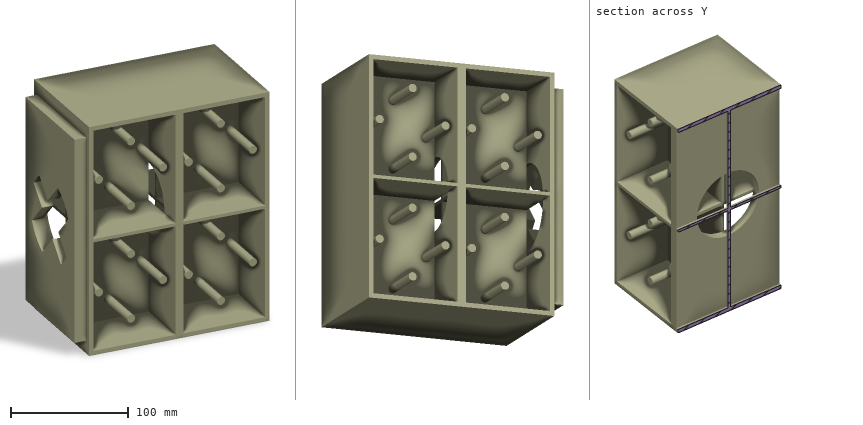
import cadquery as cq

LENGTH_X = 108.8
LENGTH_Z = 213
BODY_Y = 169.1
OUTER_WALL = 4.0
WEB = 3.0
SHELF = 3.0
PARTITION = 7.5

PLATE_X = 97.5
PLATE_Z = 189.0
PLATE_THICKNESS = 10.9

KEY_RADIUS = 39.0
WIDE_SLOT = 29.5
NARROW_SLOT = 16.0
KEY_ANGLE = 45

PORT_RADIUS = 32.5
PORT_Z = 3.8

PEG_DIAMETER = 7.2
PEG_CIRCLE_RADIUS = 30.0
PEG_RECESS = 6.4
PEG_GROUP_Z = 52.5

CELL_Y = (BODY_Y - 2 * OUTER_WALL - PARTITION) / 2
CELL_Z = (LENGTH_Z - 2 * OUTER_WALL - SHELF) / 2
CELL_CENTRE_Y = (CELL_Y + PARTITION) / 2
CELL_CENTRE_Z = (CELL_Z + SHELF) / 2


def make_cells():
    """Pockets from both X sides, leaving the web between them."""
    cells = cq.Workplane("YZ").rarray(2 * CELL_CENTRE_Y, 2 * CELL_CENTRE_Z, 2, 2).rect(CELL_Y, CELL_Z)
    cells = cells.extrude(LENGTH_X / 2, both=True)
    web = cq.Workplane("XY").box(WEB, BODY_Y, LENGTH_Z)
    return cells.cut(web)


def make_plate():
    plate = cq.Workplane("XY").box(PLATE_X, PLATE_THICKNESS, PLATE_Z)
    return plate.translate((0, -(BODY_Y + PLATE_THICKNESS) / 2, 0))


def make_key_opening():
    """Crossed slots through the plate, clipped to a circle, and the round bore in the wall behind it."""
    plate_back = cq.Workplane("XZ", origin=(0, -BODY_Y / 2, 0))
    bore = plate_back.circle(KEY_RADIUS).extrude(-OUTER_WALL)
    disc = plate_back.circle(KEY_RADIUS).extrude(PLATE_THICKNESS)
    slot_length = 2 * KEY_RADIUS
    wide = plate_back.rect(slot_length, WIDE_SLOT).extrude(PLATE_THICKNESS)
    narrow = plate_back.rect(NARROW_SLOT, slot_length).extrude(PLATE_THICKNESS)
    key = wide.union(narrow).intersect(disc).rotate((0, 0, 0), (0, 1, 0), -KEY_ANGLE)
    return key.union(bore)


def make_port():
    port = cq.Workplane("XZ").center(0, PORT_Z).circle(PORT_RADIUS)
    return port.extrude(PARTITION / 2, both=True)


def make_pegs():
    """Pegs run through the web and stop short of both open sides."""
    length = LENGTH_X / 2 - PEG_RECESS
    pegs = cq.Workplane("YZ").pushPoints(
        [
            (y + PEG_CIRCLE_RADIUS * step_y, z + PEG_CIRCLE_RADIUS * step_z)
            for y in (-CELL_CENTRE_Y, CELL_CENTRE_Y)
            for z in (-PEG_GROUP_Z, PEG_GROUP_Z)
            for step_y, step_z in ((1, 0), (0, 1), (-1, 0), (0, -1))
        ]
    )
    return pegs.circle(PEG_DIAMETER / 2).extrude(length, both=True)


body = cq.Workplane("XY").box(LENGTH_X, BODY_Y, LENGTH_Z).cut(make_cells())
body = body.union(make_plate()).cut(make_key_opening()).cut(make_port())
result = body.union(make_pegs())